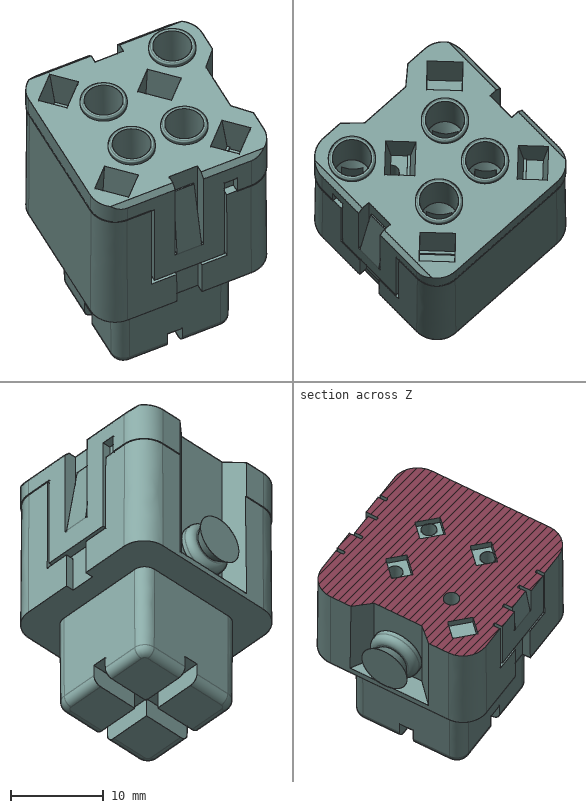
import cadquery as cq
import math

TOTAL_HEIGHT = 32.1
BODY_SIZE = 20.93
BODY_DEPTH = 20.85
CORNER_RADIUS = 3.0
BODY_BOTTOM = 12.1
RIM_HEIGHT = 0.48
LID_TOP = TOTAL_HEIGHT - RIM_HEIGHT
LID_BOTTOM = 29.0
LID_BACK_BOTTOM = 26.77
LID_CHAMFER = 0.58
BODY_DRAFT = 0.35
HALF_SIZE = BODY_SIZE / 2
HALF_DEPTH = BODY_DEPTH / 2

NOSE_SIZE = 14.05
NOSE_CORNER_RADIUS = 1.55
NOSE_END_RADIUS = 1.0
NOSE_DRAFT = 0.35
CROSS_SLOT_WIDTH = 1.75
CROSS_SLOT_HEIGHT = 2.45

RECESS_DEPTH = 1.0
TONGUE_WIDTH = 8.4
TONGUE_BOTTOM = 17.08
SIDE_GAP = 0.32
END_GAP = 0.48
RECESS_WIDTH = TONGUE_WIDTH + 2 * SIDE_GAP
RECESS_BOTTOM = TONGUE_BOTTOM - END_GAP
CHANNEL_WIDTH = 3.02
LID_WINDOW_WIDTH = 1.57

LATCH_WIDTH = 3.4
LATCH_DEPTH = 1.5
LATCH_BOTTOM = 20.03
RAMP_TOP_WIDTH = 2.47
RAMP_BOTTOM_WIDTH = 2.95
RAMP_STEP = 0.15

SCREW_Z = 16.95
NOTCH_OUTER_WIDTH = 9.95
NOTCH_INNER_WIDTH = 6.05
NOTCH_DEPTH = 1.75
NOTCH_FLOOR_DROP = 1.1
COLLAR_LENGTH = 1.38
COLLAR_ROUNDING = 0.87
CONE_SMALL_DIAMETER = 3.85
CONE_LARGE_DIAMETER = 5.7
SCREW_PROTRUSION = 1.0

TERMINALS = [(-6.9, 6.55), (3.4, 2.9), (-3.4, -3.45), (3.4, -3.45)]
RIM_DIAMETER = 5.1
RIM_ROUNDING = 0.2
BORE_DIAMETER = 4.2
BORE_DEPTH = 6.42
FUNNEL_DEPTH = 1.3
FUNNEL_END_DIAMETER = 2.25
SOCKET_RADIAL = 2.3
SOCKET_TANGENTIAL = 2.75
SOCKET_DEPTH = 3.2

WINDOWS = [(6.93, 6.7), (-3.02, 3.08), (-7.05, -7.05), (7.05, -7.05)]
WINDOW_RADIAL = 3.27
WINDOW_TANGENTIAL = 3.85
WINDOW_DEPTH = 4.5
WINDOW_WALL_RUN = 0.58
LEDGE_WIDTH = 0.32
LEDGE_HEIGHT = 0.32

CONTACTS = [(-3.72, 3.72), (3.72, 3.25), (-3.72, -3.72), (3.72, -3.72)]
CONTACT_DIAMETER = 1.7
CONTACT_FLOOR = 19.25


def block(x_range, y_range, z_range):
    """Box between the given limits."""
    size = [high - low for low, high in (x_range, y_range, z_range)]
    corner = (x_range[0], y_range[0], z_range[0])
    return cq.Workplane("XY").box(*size, centered=False).translate(corner)


def rounded_prism(bottom, top):
    """Full-size body outline between two heights."""
    return (
        cq.Workplane("XY", origin=(0, 0, bottom))
        .rect(BODY_SIZE, BODY_DEPTH)
        .extrude(top - bottom)
        .edges("|Z")
        .fillet(CORNER_RADIUS)
    )


def diagonal_direction(x, y):
    """Angle of the diagonal through the quadrant of a point."""
    return math.degrees(math.atan2(math.copysign(1, y), math.copysign(1, x)))


def make_nose():
    nose = (
        cq.Workplane("XY", origin=(0, 0, BODY_BOTTOM))
        .sketch()
        .rect(NOSE_SIZE, NOSE_SIZE)
        .vertices()
        .fillet(NOSE_CORNER_RADIUS)
        .finalize()
        .extrude(-BODY_BOTTOM, taper=NOSE_DRAFT)
        .faces("<Z")
        .edges()
        .fillet(NOSE_END_RADIUS)
    )
    across = (-NOSE_SIZE / 2, NOSE_SIZE / 2)
    width = (-CROSS_SLOT_WIDTH / 2, CROSS_SLOT_WIDTH / 2)
    height = (0, CROSS_SLOT_HEIGHT)
    return nose.cut(block(across, width, height)).cut(block(width, across, height))


def make_shell():
    """Drafted body with the wider lid, which reaches lower towards the +Y side."""
    body = (
        cq.Workplane("XY", origin=(0, 0, BODY_BOTTOM))
        .sketch()
        .rect(BODY_SIZE, BODY_DEPTH)
        .vertices()
        .fillet(CORNER_RADIUS)
        .finalize()
        .extrude(LID_BOTTOM - BODY_BOTTOM, taper=BODY_DRAFT)
    )
    lid_wedge = (
        block((-HALF_SIZE, HALF_SIZE), (-HALF_DEPTH, HALF_DEPTH), (LID_BOTTOM, LID_TOP))
        .edges(">Z and |Y")
        .chamfer(LID_CHAMFER)
    )
    lid = rounded_prism(LID_BOTTOM, LID_TOP).intersect(lid_wedge)
    skirt_zone = block(
        (-HALF_SIZE, HALF_SIZE), (TONGUE_WIDTH / 2, HALF_DEPTH), (LID_BACK_BOTTOM, LID_BOTTOM)
    )
    skirt = rounded_prism(LID_BACK_BOTTOM, LID_BOTTOM).intersect(skirt_zone)
    return body.union(lid).union(skirt)


def make_tongue_recess():
    """Recess for the -X tongue, its channel down to the body bottom and the lid window."""
    depth = (-HALF_SIZE, -HALF_SIZE + RECESS_DEPTH)
    half_tongue = TONGUE_WIDTH / 2
    recess = block(depth, (-RECESS_WIDTH / 2, RECESS_WIDTH / 2), (RECESS_BOTTOM, LID_BOTTOM))
    channel = block(depth, (-CHANNEL_WIDTH / 2, CHANNEL_WIDTH / 2), (BODY_BOTTOM, RECESS_BOTTOM))
    window = block(
        depth, (half_tongue, half_tongue + LID_WINDOW_WIDTH), (LID_BACK_BOTTOM, LID_BOTTOM)
    )
    lid_overhang = block(
        depth, (half_tongue, HALF_DEPTH), (LID_BACK_BOTTOM, LID_BOTTOM)
    ).cut(window)
    return recess.cut(lid_overhang).union(channel).union(window)


def make_tongue():
    return block(
        (-HALF_SIZE, -HALF_SIZE + RECESS_DEPTH),
        (-TONGUE_WIDTH / 2, TONGUE_WIDTH / 2),
        (TONGUE_BOTTOM, LID_BOTTOM),
    )


def make_latch_slot():
    """Slot in the -X tongue, less the ramp that rises inward from the slot bottom."""
    floor_x = -HALF_SIZE + LATCH_DEPTH
    slot = block(
        (-HALF_SIZE, floor_x), (-LATCH_WIDTH / 2, LATCH_WIDTH / 2), (LATCH_BOTTOM, LID_TOP)
    )
    ramp_side = (
        cq.Workplane("XZ")
        .polyline(
            [
                (-HALF_SIZE, LATCH_BOTTOM),
                (floor_x, LATCH_BOTTOM),
                (floor_x, LID_BOTTOM),
                (floor_x - RAMP_STEP, LID_BOTTOM),
            ]
        )
        .close()
        .extrude(LATCH_WIDTH / 2, both=True)
    )
    ramp_front = (
        cq.Workplane("YZ", origin=(-HALF_SIZE, 0, 0))
        .polyline(
            [
                (-RAMP_BOTTOM_WIDTH / 2, LATCH_BOTTOM),
                (RAMP_BOTTOM_WIDTH / 2, LATCH_BOTTOM),
                (RAMP_TOP_WIDTH / 2, LID_BOTTOM),
                (-RAMP_TOP_WIDTH / 2, LID_BOTTOM),
            ]
        )
        .close()
        .extrude(LATCH_DEPTH)
    )
    return slot.cut(ramp_side.intersect(ramp_front))


def make_screw_notch():
    """Trapezoidal notch open upward, with a floor that falls towards the outside."""
    inner_y = HALF_DEPTH - NOTCH_DEPTH
    floor_z = SCREW_Z - NOTCH_INNER_WIDTH / 2
    plan = (
        cq.Workplane("XY")
        .polyline(
            [
                (-NOTCH_INNER_WIDTH / 2, inner_y),
                (NOTCH_INNER_WIDTH / 2, inner_y),
                (NOTCH_OUTER_WIDTH / 2, HALF_DEPTH),
                (-NOTCH_OUTER_WIDTH / 2, HALF_DEPTH),
            ]
        )
        .close()
        .extrude(LID_TOP)
    )
    section = (
        cq.Workplane("YZ")
        .polyline(
            [
                (inner_y, floor_z),
                (HALF_DEPTH, floor_z - NOTCH_FLOOR_DROP),
                (HALF_DEPTH, LID_TOP),
                (inner_y, LID_TOP),
            ]
        )
        .close()
        .extrude(NOTCH_OUTER_WIDTH / 2, both=True)
    )
    return plan.intersect(section)


def make_screw():
    """Rounded collar and flared head, turned about an axis along Y."""
    collar_start = HALF_DEPTH - NOTCH_DEPTH
    collar_end = collar_start + COLLAR_LENGTH
    head_end = HALF_DEPTH + SCREW_PROTRUSION
    collar_radius = NOTCH_INNER_WIDTH / 2
    bend = COLLAR_ROUNDING * math.sqrt(0.5)
    profile = (
        cq.Workplane("XY")
        .moveTo(0, collar_start)
        .lineTo(collar_radius, collar_start)
        .lineTo(collar_radius, collar_end - COLLAR_ROUNDING)
        .threePointArc(
            (collar_radius - COLLAR_ROUNDING + bend, collar_end - COLLAR_ROUNDING + bend),
            (collar_radius - COLLAR_ROUNDING, collar_end),
        )
        .lineTo(CONE_SMALL_DIAMETER / 2, collar_end)
        .lineTo(CONE_LARGE_DIAMETER / 2, head_end)
        .lineTo(0, head_end)
        .close()
    )
    return profile.revolve(360, (0, 0, 0), (0, 1, 0)).translate((0, 0, SCREW_Z))


def make_rim(x, y):
    return (
        cq.Workplane("XY", origin=(x, y, LID_TOP))
        .circle(RIM_DIAMETER / 2)
        .extrude(RIM_HEIGHT)
        .faces(">Z")
        .edges()
        .fillet(RIM_ROUNDING)
    )


def make_terminal_hole(x, y):
    """Bore, conical funnel and rectangular socket turned to the diagonal."""
    bore_end = TOTAL_HEIGHT - BORE_DEPTH
    turned = (
        cq.Workplane("XZ")
        .polyline(
            [
                (0, TOTAL_HEIGHT),
                (BORE_DIAMETER / 2, TOTAL_HEIGHT),
                (BORE_DIAMETER / 2, bore_end),
                (FUNNEL_END_DIAMETER / 2, bore_end - FUNNEL_DEPTH),
                (0, bore_end - FUNNEL_DEPTH),
            ]
        )
        .close()
        .revolve(360, (0, 0, 0), (0, 1, 0))
    )
    socket = (
        cq.Workplane("XY", origin=(0, 0, bore_end))
        .rect(SOCKET_RADIAL, SOCKET_TANGENTIAL)
        .extrude(-SOCKET_DEPTH)
        .rotate((0, 0, 0), (0, 0, 1), diagonal_direction(x, y))
    )
    return turned.union(socket).translate((x, y, 0))


def make_window(x, y):
    """Pocket whose two walls across the diagonal slope inward, with a ledge on the inner side."""
    half_top = WINDOW_RADIAL / 2
    half_floor = half_top - WINDOW_WALL_RUN
    floor_z = LID_TOP - WINDOW_DEPTH
    ledge_edge = -half_floor + LEDGE_WIDTH
    return (
        cq.Workplane("XZ")
        .polyline(
            [
                (-half_top, LID_TOP),
                (-half_floor, floor_z + LEDGE_HEIGHT),
                (ledge_edge, floor_z + LEDGE_HEIGHT),
                (ledge_edge, floor_z),
                (half_floor, floor_z),
                (half_top, LID_TOP),
            ]
        )
        .close()
        .extrude(WINDOW_TANGENTIAL / 2, both=True)
        .rotate((0, 0, 0), (0, 0, 1), diagonal_direction(x, y))
        .translate((x, y, 0))
    )


def make_contact_hole(x, y, top):
    return (
        cq.Workplane("XY", origin=(x, y, CONTACT_FLOOR))
        .circle(CONTACT_DIAMETER / 2)
        .extrude(top - CONTACT_FLOOR)
    )


result = make_shell().union(make_nose())

left_recess = make_tongue_recess()
left_tongue = make_tongue()
left_latch = make_latch_slot()
result = result.cut(left_recess).cut(left_recess.mirror("YZ"))
result = result.union(left_tongue).union(left_tongue.mirror("YZ"))
result = result.cut(left_latch).cut(left_latch.mirror("YZ"))

result = result.cut(make_screw_notch()).union(make_screw())

for position in TERMINALS:
    result = result.union(make_rim(*position)).cut(make_terminal_hole(*position))

for position in WINDOWS:
    result = result.cut(make_window(*position))

socket_floor = TOTAL_HEIGHT - BORE_DEPTH - SOCKET_DEPTH
window_floor = LID_TOP - WINDOW_DEPTH
for contact_x, contact_y in CONTACTS:
    in_window = contact_x < 0 < contact_y
    hole_top = window_floor if in_window else socket_floor
    result = result.cut(make_contact_hole(contact_x, contact_y, hole_top))